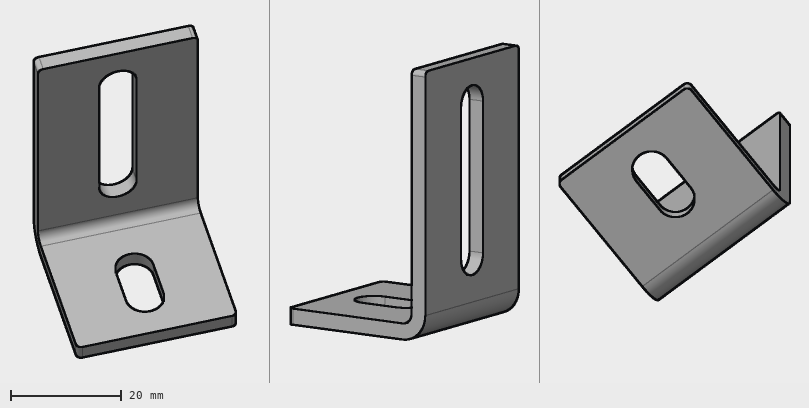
import cadquery as cq

base_length = 30.0
width = 30.0
height = 50.0
thickness = 3.0
inner_bend_radius = 2.0
outer_bend_radius = inner_bend_radius + thickness
corner_radius = 1.0

slot_width = 7.0
slot_end_margin = 5.0
base_slot_length = 14.0
base_slot_center_x = base_length - slot_end_margin - base_slot_length / 2
wall_slot_length = 35.0
wall_slot_center_z = height - slot_end_margin - wall_slot_length / 2


def bent_plate():
    """L-shaped plate with a rounded bend and rounded free corners."""
    profile = (
        cq.Workplane("XZ")
        .moveTo(outer_bend_radius, 0)
        .lineTo(base_length, 0)
        .lineTo(base_length, thickness)
        .lineTo(outer_bend_radius, thickness)
        .radiusArc((thickness, outer_bend_radius), inner_bend_radius)
        .lineTo(thickness, height)
        .lineTo(0, height)
        .lineTo(0, outer_bend_radius)
        .radiusArc((outer_bend_radius, 0), -outer_bend_radius)
        .close()
    )
    plate = profile.extrude(width / 2, both=True)
    plate = plate.faces(">X").edges("|Z").fillet(corner_radius)
    return plate.faces(">Z").edges("|X").fillet(corner_radius)


def base_slot():
    """Cutter for the slot through the horizontal leg, long along X."""
    return (
        cq.Workplane("XY")
        .center(base_slot_center_x, 0)
        .slot2D(base_slot_length, slot_width)
        .extrude(thickness)
    )


def wall_slot():
    """Cutter for the slot through the upright leg, long along Z."""
    return (
        cq.Workplane("YZ")
        .center(0, wall_slot_center_z)
        .slot2D(wall_slot_length, slot_width, angle=90)
        .extrude(thickness)
    )


result = bent_plate().cut(base_slot()).cut(wall_slot())